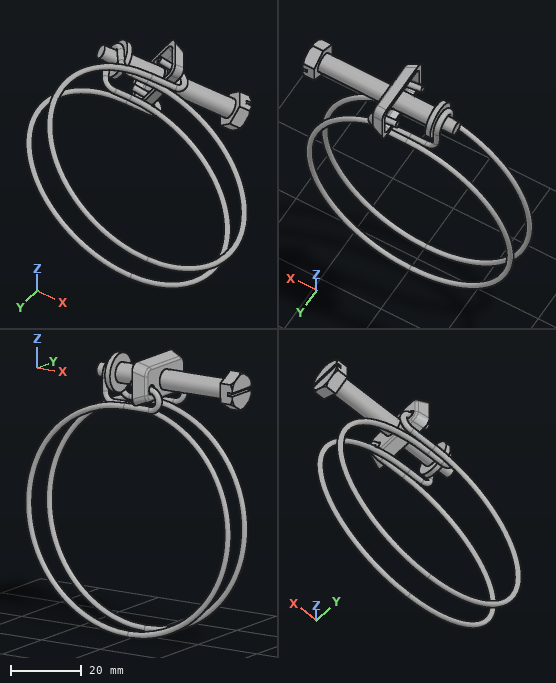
import cadquery as cq
import math

OVERALL_HEIGHT = 82.35

WIRE_DIAMETER = 2.0
BAND_OUTER_RADIUS = 34.5
BAND_RADIUS = BAND_OUTER_RADIUS - WIRE_DIAMETER / 2
INNER_STRAND_Y = 4.3
OUTER_STRAND_Y = 6.3
BEND_RADIUS = 3.1
LOOP_X = -8.3
LEG_TILT = 4.0
LEG_TURN = -90.0
HOOK_START_X = 8.4
HOOK_TILT = 5.0
HOOK_TURN = 171.0
HOOK_END_X = 2.7

PLATE_X = 5.4
PLATE_DEPTH = 4.0
PLATE_LENGTH = 22.0
PLATE_HEIGHT = 12.9
PLATE_CORNER_RADIUS = 2.55
RECESS_CORNER_RADIUS = 2.3
LONG_WALL_DRAFT = 20.0
END_WALL_DRAFT = 16.0
PLATE_WALL = 1.5
FLOOR_EDGE_RADIUS = 0.8
RECESS_FLOOR_RADIUS = 0.6
WIRE_HOLE_DIAMETER = 2.8
WIRE_HOLE_Y = 7.1
WIRE_HOLE_Z = 39.8
HOLE_RING_DIAMETER = 6.6
HOLE_RING_HEIGHT = 0.7

SCREW_Z = OVERALL_HEIGHT - BAND_OUTER_RADIUS - PLATE_HEIGHT / 2
TIP_X = -12.6
TIP_DIAMETER = 4.3
COLLAR_X = LOOP_X + WIRE_DIAMETER / 2
COLLAR_THICKNESS = 1.7
COLLAR_DIAMETER = 11.5
SHANK_DIAMETER = 6.0
HEAD_X = 31.45
HEAD_END_X = 35.5
HEAD_ACROSS_CORNERS = 11.5
HEAD_CHAMFER = 0.6
SLOT_WIDTH = 1.0
SLOT_DEPTH = 1.6


def disc(x, length, diameter):
    """Cylinder along +X on the screw axis."""
    return cq.Workplane("YZ", origin=(x, 0, SCREW_Z)).circle(diameter / 2).extrude(length)


def make_head():
    length = HEAD_END_X - HEAD_X
    head = (
        cq.Workplane("YZ", origin=(HEAD_X, 0, SCREW_Z))
        .transformed(rotate=(0, 0, 90))
        .polygon(6, HEAD_ACROSS_CORNERS)
        .extrude(length)
    )
    envelope = disc(HEAD_X, length, HEAD_ACROSS_CORNERS).faces(">X").chamfer(HEAD_CHAMFER)
    slot = cq.Workplane(origin=(HEAD_END_X - SLOT_DEPTH / 2, 0, SCREW_Z)).box(
        SLOT_DEPTH, HEAD_ACROSS_CORNERS, SLOT_WIDTH
    )
    return head.intersect(envelope).cut(slot)


def make_screw():
    tip = disc(TIP_X, COLLAR_X - TIP_X, TIP_DIAMETER)
    collar = disc(COLLAR_X, COLLAR_THICKNESS, COLLAR_DIAMETER)
    shank = disc(COLLAR_X, HEAD_X - COLLAR_X, SHANK_DIAMETER)
    return tip.union(collar).union(shank).union(make_head())


def tapered_block(length, height, corner_radius, depth, floor_edge_radius):
    """Rounded block that narrows from the plate's open side towards +X."""
    floor_length = length - 2 * depth * math.tan(math.radians(END_WALL_DRAFT))
    floor_height = height - 2 * depth * math.tan(math.radians(LONG_WALL_DRAFT))
    return (
        cq.Workplane("YZ", origin=(PLATE_X, 0, SCREW_Z))
        .rect(length, height)
        .workplane(offset=depth)
        .rect(floor_length, floor_height)
        .loft(ruled=True)
        .edges("not #X")
        .fillet(corner_radius)
        .faces(">X")
        .edges()
        .fillet(floor_edge_radius)
    )


def make_bridge_plate():
    recess_depth = PLATE_DEPTH - PLATE_WALL
    outside = tapered_block(
        PLATE_LENGTH, PLATE_HEIGHT, PLATE_CORNER_RADIUS, PLATE_DEPTH, FLOOR_EDGE_RADIUS
    )
    recess = tapered_block(
        PLATE_LENGTH - 2 * PLATE_WALL,
        PLATE_HEIGHT - 2 * PLATE_WALL,
        RECESS_CORNER_RADIUS,
        recess_depth,
        RECESS_FLOOR_RADIUS,
    )
    hole_ring = disc(PLATE_X + recess_depth - HOLE_RING_HEIGHT, HOLE_RING_HEIGHT, HOLE_RING_DIAMETER)
    wire_holes = (
        cq.Workplane("YZ", origin=(PLATE_X, 0, WIRE_HOLE_Z))
        .pushPoints([(-WIRE_HOLE_Y, 0), (WIRE_HOLE_Y, 0)])
        .circle(WIRE_HOLE_DIAMETER / 2)
        .extrude(PLATE_DEPTH)
    )
    screw_hole = disc(PLATE_X, PLATE_DEPTH, SHANK_DIAMETER)
    return outside.cut(recess).union(hole_ring).cut(wire_holes).cut(screw_hole)


def bend_point(start, tilt, angle):
    """Point on a bend that leaves `start` along X and turns up in a plane tilted about X.

    A positive angle turns from +X, a negative one from -X.
    """
    rise = BEND_RADIUS * (1 - math.cos(math.radians(angle)))
    return start + cq.Vector(
        BEND_RADIUS * math.sin(math.radians(angle)),
        rise * math.sin(math.radians(tilt)),
        rise * math.cos(math.radians(tilt)),
    )


def leg_bend_point(angle):
    """Point on the bend between the inner strand and the +Y leg of the tip loop."""
    bend_start = cq.Vector(LOOP_X + BEND_RADIUS, INNER_STRAND_Y, BAND_RADIUS)
    return bend_point(bend_start, -LEG_TILT, angle)


def half_wire_edges():
    """Centerline edges on the +Y side, from the hook end to the foot of the tip loop."""
    hook_foot = cq.Vector(HOOK_START_X, OUTER_STRAND_Y, BAND_RADIUS)
    hook_top = bend_point(hook_foot, HOOK_TILT, HOOK_TURN)
    end_run = hook_top.x - HOOK_END_X
    end_rise = end_run * math.tan(math.radians(180 - HOOK_TURN))
    hook_end = hook_top + cq.Vector(
        -end_run,
        end_rise * math.sin(math.radians(HOOK_TILT)),
        end_rise * math.cos(math.radians(HOOK_TILT)),
    )

    band_start = cq.Vector(0, OUTER_STRAND_Y, BAND_RADIUS)
    band_left = cq.Vector(-BAND_RADIUS, (OUTER_STRAND_Y + INNER_STRAND_Y) / 2, 0)
    band_bottom = cq.Vector(0, INNER_STRAND_Y, -BAND_RADIUS)
    band_right = cq.Vector(BAND_RADIUS, INNER_STRAND_Y, 0)
    band_end = cq.Vector(0, INNER_STRAND_Y, BAND_RADIUS)

    return [
        cq.Edge.makeLine(hook_end, hook_top),
        cq.Edge.makeThreePointArc(hook_top, bend_point(hook_foot, HOOK_TILT, HOOK_TURN / 2), hook_foot),
        cq.Edge.makeLine(hook_foot, band_start),
        cq.Edge.makeThreePointArc(band_start, band_left, band_bottom),
        cq.Edge.makeThreePointArc(band_bottom, band_right, band_end),
        cq.Edge.makeLine(band_end, leg_bend_point(0)),
        cq.Edge.makeThreePointArc(
            leg_bend_point(0), leg_bend_point(LEG_TURN / 2), leg_bend_point(LEG_TURN)
        ),
    ]


def tip_loop_edges():
    """Two tilted legs and the arc that joins them over the screw tip."""
    tilt = math.radians(LEG_TILT)
    leg_foot = leg_bend_point(LEG_TURN)
    loop_top_z = SCREW_Z + (TIP_DIAMETER + WIRE_DIAMETER) / 2
    loop_height = loop_top_z - leg_foot.z
    loop_radius = (leg_foot.y * math.cos(tilt) - loop_height * math.sin(tilt)) / (1 - math.sin(tilt))
    center_z = loop_top_z - loop_radius
    arc_y = loop_radius * math.cos(tilt)
    arc_z = center_z + loop_radius * math.sin(tilt)
    arc_start = cq.Vector(LOOP_X, arc_y, arc_z)
    arc_top = cq.Vector(LOOP_X, 0, loop_top_z)
    arc_end = cq.Vector(LOOP_X, -arc_y, arc_z)
    other_foot = cq.Vector(LOOP_X, -leg_foot.y, leg_foot.z)
    return [
        cq.Edge.makeLine(leg_foot, arc_start),
        cq.Edge.makeThreePointArc(arc_start, arc_top, arc_end),
        cq.Edge.makeLine(arc_end, other_foot),
    ]


def make_band_wire():
    half = half_wire_edges()
    other_half = [edge.mirror("XZ") for edge in half]
    path = cq.Wire.assembleEdges(half + tip_loop_edges() + other_half[::-1])
    start = path.startPoint()
    profile_plane = cq.Plane(origin=start, normal=path.tangentAt(0))
    return cq.Workplane(profile_plane).circle(WIRE_DIAMETER / 2).sweep(cq.Workplane(path))


screw = make_screw()
bridge_plate = make_bridge_plate()
band_wire = make_band_wire()

result = cq.Compound.makeCompound([body.solids().val() for body in (screw, bridge_plate, band_wire)])